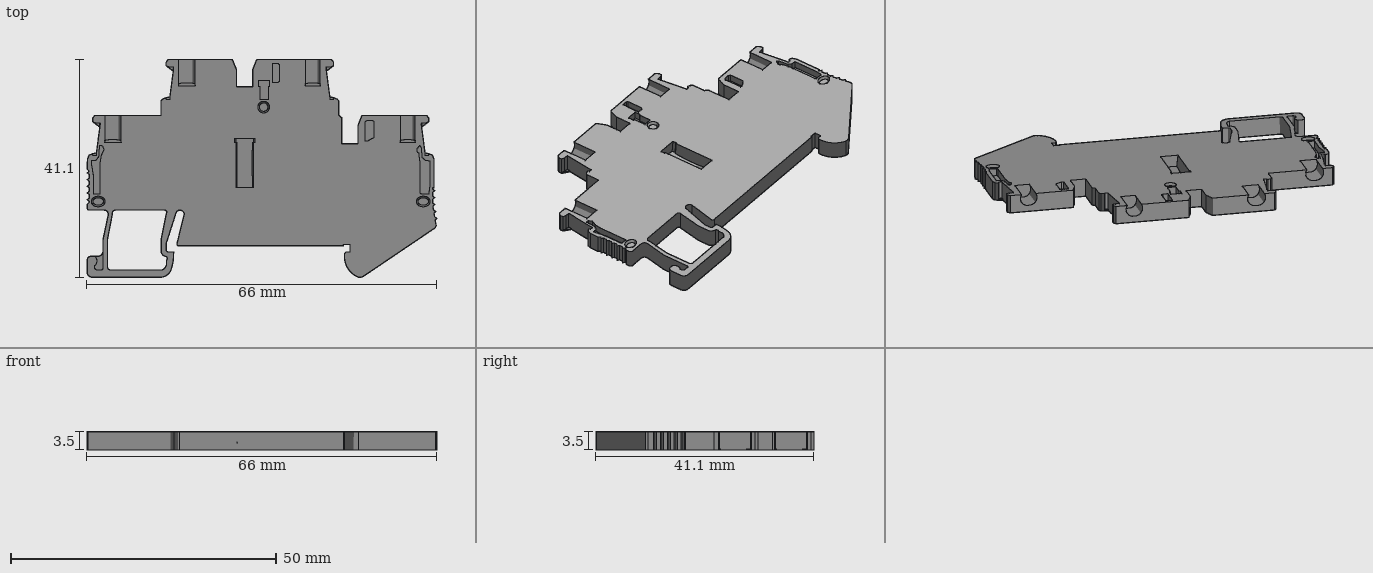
import cadquery as cq

body_length = 66.0
body_height = 41.1
thickness = 3.5

upper_top = body_height
lower_top = 30.55
wing_bottom = 12.65
rail_face = 5.95
foot_top = 4.8

left_lower_neck = 2.45
left_upper_neck = 16.3
right_upper_neck = 45.1
right_lower_neck = 63.05
clip_nose = 1.42
clip_corner = 1.0
clip_nose_top = 0.55
clip_nose_bottom = 1.2
clip_underside = 1.45
clip_underside_start = 0.8
web_end = 2.2
neck_lean = 0.7
neck_straight = 0.3
neck_length = 7.05
notch_bottom = 7.6
notch_width = 0.6
notch_lip = 0.8
notch_lip_depth = 7.25
shoulder_reach = 2.1
shoulder_depth = 7.5
shoulder_side = 2.4
lower_shoulder_end = 8.3
upper_shoulder_end = 7.85
web_lean = 0.1
web_thickness = 0.25

tooth_height = 0.38
tooth_half_width = 0.3
left_tooth_pitch = 1.26
left_first_tooth = 19.69
left_tooth_count = 5
left_grip_top = 20.4
left_grip_bottom = 13.75
right_tooth_pitch = 1.31
right_first_tooth = 16.35
right_tooth_count = 5
right_grip_top = 16.85
right_knee = 13.6
right_grip_root = 65.2
right_side = right_lower_neck + shoulder_side
right_last_tooth = right_first_tooth - (right_tooth_count - 1) * right_tooth_pitch
right_lean = (body_length - tooth_height - right_grip_root) / (right_knee - right_last_tooth)

upper_notch_left = 28.2
upper_notch_right = 31.2
upper_notch_bottom = 35.95
lower_notch_left = 48.05
lower_notch_right = 51.05
lower_notch_bottom = 25.2
notch_flare = 1.0
notch_flare_depth = 1.95
flare_corner = 0.65
flare_corner_depth = 0.35
flare_bulge = 0.8
flare_bulge_depth = 0.08

groove_depth = 2.25
groove_half_mouth = 1.53
right_groove_half_mouth = 1.25
groove_bulge = 0.2
groove_bulge_depth = 0.95
groove_flat_half = 0.3
groove_end_slope = 0.57
groove_length_upper = 5.0
groove_length_lower = 5.15

window_center_x = 29.73
window_half_width = 1.69
window_head_half_width = 1.9
window_draft = 0.28
window_bottom = 16.9
window_top = 26.2
window_ledge = 0.8
window_ledge_depth = 2.2
window_floor_depth = 2.45

pocket_depth = 1.4
dimple_depth = 0.5
dimple_inset = 0.3

foot_right = 16.35
foot_floor = 1.4
foot_corner = 1.0
lip_top = 4.0
lip_corner = 0.8
wing_corner = 0.45
foot_web_thickness = 0.87
foot_web_top = 5.0
strip_outer_x = 3.0
strip_inner_x = 3.88
strip_bend = 7.15
arm_inner_x = 13.95
arm_outer_x = 14.95
relief_bend = 6.4

rail_notch_left = 48.35
rail_notch_right = 49.55
rail_notch_rise = 0.2
toe_x = 48.55
toe_round = 0.3
sole_start = 51.15
sole_end = 51.6
slope_start = (52.15, 0.2)
slope_end = (65.7, 9.35)
slope_chamfer = (65.85, 9.8)
deck_step = 0.45


def clip_points(neck, top, side):
    """Clip outline from its top corner down to the shoulder; side is -1 left, +1 right."""
    shoulder_end = upper_shoulder_end if top == upper_top else lower_shoulder_end
    offsets = [
        (clip_corner, 0),
        (clip_nose, clip_nose_top),
        (clip_nose, clip_nose_bottom),
        (clip_underside_start, clip_underside),
        (0, clip_underside),
        (0, clip_underside + neck_straight),
        (neck_lean, neck_length),
        (neck_lean, notch_bottom),
        (neck_lean + notch_width, notch_bottom),
        (neck_lean + notch_lip, notch_lip_depth),
        (shoulder_reach, shoulder_depth),
        (shoulder_side, shoulder_end),
    ]
    return [(neck + side * out, top - down) for out, down in offsets]


def tooth_points(root, y):
    """Three corners of one grip tooth, from top to bottom; root(y) gives the face."""
    direction = 1 if root(y) > body_length / 2 else -1
    return [
        (root(y + tooth_half_width), y + tooth_half_width),
        (root(y) + direction * tooth_height, y),
        (root(y - tooth_half_width), y - tooth_half_width),
    ]


def left_root(y):
    """X of the left toothed face, the same at every level."""
    return tooth_height


def right_root(y):
    """X of the right toothed face, leaning outward below the knee."""
    return right_grip_root + right_lean * max(0, right_knee - y)


def left_grip_points():
    """Left end face, from bottom to top."""
    points = [(0, left_grip_bottom), (tooth_height, left_grip_bottom + tooth_height)]
    for i in reversed(range(left_tooth_count)):
        points += reversed(tooth_points(left_root, left_first_tooth - i * left_tooth_pitch))
    return points + [(tooth_height, left_grip_top - tooth_height), (0, left_grip_top)]


def right_grip_points():
    """Right end face, from top to bottom."""
    points = [(right_side, right_grip_top), (right_grip_root, right_grip_top)]
    for i in range(right_tooth_count):
        points += tooth_points(right_root, right_first_tooth - i * right_tooth_pitch)
    return points


def flare_points(wall, top, side):
    """Notch entry on one side: end of the top edge, corner middle, corner end, notch wall."""
    offsets = [
        (notch_flare, 0),
        (flare_bulge, flare_bulge_depth),
        (flare_corner, flare_corner_depth),
        (0, notch_flare_depth),
    ]
    return [(wall + side * out, top - down) for out, down in offsets]


def notch(sketch, left, right, top, bottom, left_flared):
    """Continue the outline through a marker notch, from left to right."""
    if left_flared:
        edge, middle, corner, wall = flare_points(left, top, -1)
        sketch = sketch.lineTo(*edge).threePointArc(middle, corner).lineTo(*wall)
    sketch = sketch.lineTo(left, bottom).lineTo(right, bottom)
    edge, middle, corner, wall = flare_points(right, top, 1)
    return sketch.lineTo(*wall).lineTo(*corner).threePointArc(middle, edge)


def run(sketch, points):
    """Continue an open outline through straight segments."""
    return sketch.polyline(points, includeCurrent=True)


def body_plate():
    """The plate outline, clockwise from the outer bottom-left corner of the rail foot."""
    s = cq.Workplane("XY").moveTo(0, foot_corner)
    s = s.lineTo(0, lip_top - lip_corner)
    s = s.tangentArcPoint((lip_corner, lip_top), relative=False).lineTo(1.45, lip_top)
    s = s.threePointArc((1.85, 3.2), (1.45, 2.2))
    s = s.threePointArc((1.5, 1.6), (2.0, foot_floor)).lineTo(2.6, foot_floor)
    s = s.threePointArc((2.9, 1.5), (strip_outer_x, 1.8))
    s = s.lineTo(strip_outer_x, strip_bend).lineTo(3.97, 11.74)
    s = s.tangentArcPoint((3.24, wing_bottom), relative=False).lineTo(wing_corner, wing_bottom)
    s = s.tangentArcPoint((0, wing_bottom + wing_corner), relative=False)
    s = run(s, left_grip_points())
    s = run(s, clip_points(left_lower_neck, lower_top, -1)[::-1])
    upper_left_clip = clip_points(left_upper_neck, upper_top, -1)[::-1]
    s = s.lineTo(upper_left_clip[0][0], lower_top)
    s = run(s, upper_left_clip)
    s = notch(s, upper_notch_left, upper_notch_right, upper_top, upper_notch_bottom, True)
    upper_right_clip = clip_points(right_upper_neck, upper_top, 1)
    s = run(s, upper_right_clip)
    s = s.lineTo(upper_right_clip[-1][0], lower_top).lineTo(lower_notch_left, lower_top - deck_step)
    s = notch(s, lower_notch_left, lower_notch_right, lower_top, lower_notch_bottom, False)
    s = run(s, clip_points(right_lower_neck, lower_top, 1))
    s = run(s, right_grip_points())
    s = s.lineTo(*slope_chamfer).lineTo(*slope_end).lineTo(*slope_start)
    s = s.threePointArc((51.9, 0.06), (sole_end, 0)).lineTo(sole_start, 0)
    s = s.threePointArc((49.15, 1.7), (toe_x, foot_top - toe_round))
    s = s.lineTo(toe_x + toe_round, foot_top).lineTo(rail_notch_right, foot_top)
    s = s.lineTo(rail_notch_right, rail_face + rail_notch_rise)
    s = s.lineTo(rail_notch_left, rail_face + rail_notch_rise).lineTo(rail_notch_left, rail_face)
    s = s.lineTo(17.4, rail_face).threePointArc((17.0, 6.05), (16.95, relief_bend)).lineTo(18.3, 11.9)
    s = s.threePointArc((17.6, wing_bottom), (16.75, 12.0))
    s = s.lineTo(arm_outer_x, relief_bend).lineTo(arm_outer_x, 5.1)
    s = s.threePointArc((15.05, 4.9), (15.3, foot_top)).lineTo(foot_right, foot_top)
    s = s.threePointArc((16.25, 3.0), (15.8, 1.25)).threePointArc((15.2, 0.5), (14.0, 0))
    s = s.lineTo(foot_corner, 0)
    s = s.tangentArcPoint((0, foot_corner), relative=False).close()
    return s.extrude(thickness)


def spring_window():
    """Opening enclosed by the rail foot spring."""
    s = cq.Workplane("XY").moveTo(strip_inner_x, 1.9).lineTo(strip_inner_x, strip_bend).lineTo(4.8, 12.0)
    s = s.threePointArc((4.95, 12.5), (5.3, wing_bottom)).lineTo(14.7, wing_bottom)
    s = s.threePointArc((14.95, 12.5), (arm_outer_x, 12.1))
    s = s.lineTo(arm_inner_x, strip_bend).lineTo(arm_inner_x, foot_top)
    s = s.threePointArc((14.35, 4.15), (14.9, 3.9)).threePointArc((15.1, 3.6), (arm_outer_x, 3.2))
    s = s.lineTo(arm_outer_x, 2.4).threePointArc((14.65, 1.75), (14.1, foot_floor))
    s = s.lineTo(4.4, foot_floor)
    s = s.threePointArc((4.05, 1.55), (strip_inner_x, 1.9)).close()
    return s.extrude(thickness)


def foot_web():
    """Low web filling the curl of the rail foot."""
    left = 0.8
    bottom = 1.0
    right = (strip_outer_x + strip_inner_x) / 2
    s = cq.Workplane("XY").moveTo(left, bottom).lineTo(left, lip_top).lineTo(2.1, lip_top)
    s = s.threePointArc((2.75, 4.3), (strip_outer_x, foot_web_top))
    s = s.lineTo(right, foot_web_top).lineTo(right, bottom).close()
    return s.extrude(foot_web_thickness)


def clip_webs(neck, top, side):
    """Thin skins under the nose and in the notch at the base of one clip."""
    nose = [(clip_nose, clip_nose_bottom), (0, clip_underside), (web_lean, web_end)]
    base = [(neck_lean, neck_length), (neck_lean, notch_bottom),
            (neck_lean + notch_width, notch_bottom), (neck_lean + notch_lip, notch_lip_depth)]
    webs = []
    for corners in (nose, base):
        points = [(neck + side * out, top - down) for out, down in corners]
        webs.append(cq.Workplane("XY").polyline(points).close().extrude(web_thickness))
    return webs


def wire_groove(center_x, top, length, right_mouth):
    """Round-walled channel with a narrow flat floor and a sloped inner end."""
    floor = thickness - groove_depth
    waist = thickness - groove_bulge_depth
    left_waist = groove_half_mouth + groove_bulge
    right_waist = right_mouth + groove_bulge
    profile = (
        cq.Workplane("XZ", origin=(center_x, top, 0))
        .moveTo(-groove_half_mouth, thickness)
        .threePointArc((-left_waist, waist), (-groove_flat_half, floor))
        .lineTo(groove_flat_half, floor)
        .threePointArc((right_waist, waist), (right_mouth, thickness))
        .close()
        .extrude(length)
    )
    side = (
        cq.Workplane("YZ", origin=(center_x - 2 * left_waist, 0, 0))
        .polyline([(top, floor), (top, thickness), (top - length, thickness),
                   (top - length + groove_end_slope, floor)])
        .close()
        .extrude(4 * left_waist)
    )
    return profile.intersect(side)


def drafted_slab(half_width, bottom, top):
    """Slab along Y whose side walls lean inward toward the floor."""
    return (
        cq.Workplane("XZ", origin=(window_center_x, top, 0))
        .polyline([(-half_width, thickness), (half_width, thickness),
                   (half_width - window_draft, thickness - window_floor_depth),
                   (-half_width + window_draft, thickness - window_floor_depth)])
        .close()
        .extrude(top - bottom)
    )


def central_window():
    """Pocket with a dished floor, a ledge at each end and a wider head."""
    ledge = thickness - window_ledge_depth
    floor = thickness - window_floor_depth
    floor_start = window_bottom + window_ledge
    floor_end = window_top - window_ledge
    side = (
        cq.Workplane("YZ", origin=(window_center_x - window_head_half_width, 0, 0))
        .moveTo(window_bottom, thickness)
        .lineTo(window_bottom, ledge)
        .lineTo(floor_start, ledge)
        .threePointArc(((floor_start + floor_end) / 2, floor), (floor_end, ledge))
        .lineTo(window_top, ledge)
        .lineTo(window_top, thickness)
        .close()
        .extrude(2 * window_head_half_width)
    )
    slabs = drafted_slab(window_half_width, window_bottom, floor_end).union(
        drafted_slab(window_head_half_width, floor_end, window_top))
    return slabs.intersect(side)


def pocket(points):
    """Flat-bottomed pocket in the top face."""
    floor = thickness - pocket_depth
    return cq.Workplane("XY").workplane(offset=floor).polyline(points).close().extrude(pocket_depth)


def dimple(x, y, radius_x, radius_y):
    """Elliptical recess that narrows toward its floor."""
    return (
        cq.Workplane("XY", origin=(x, y, thickness))
        .ellipse(radius_x, radius_y)
        .workplane(offset=-dimple_depth)
        .ellipse(radius_x - dimple_inset, radius_y - dimple_inset)
        .loft(ruled=True)
    )


clips = [
    (left_lower_neck, lower_top, -1),
    (left_upper_neck, upper_top, -1),
    (right_upper_neck, upper_top, 1),
    (right_lower_neck, lower_top, 1),
]

grooves = [
    (4.87, lower_top, groove_length_lower, groove_half_mouth),
    (18.8, upper_top, groove_length_upper, groove_half_mouth),
    (42.7, upper_top, groove_length_upper, right_groove_half_mouth),
    (60.6, lower_top, groove_length_lower, right_groove_half_mouth),
]

upper_marker_pocket = [(34.95, 36.7), (34.95, 40.35), (36.0, 40.35),
                       (36.25, 40.1), (36.25, 36.95), (35.95, 36.7)]
tee_pocket = [(32.35, 37.15), (34.45, 37.15), (34.45, 35.95), (34.25, 35.95),
              (34.25, 33.5), (32.6, 33.5), (32.6, 35.95), (32.35, 35.95)]
lower_marker_pocket = [(52.45, 25.7), (52.45, 29.3), (52.75, 29.6), (53.85, 29.6),
                       (54.15, 29.3), (54.15, 26.4), (52.9, 25.7)]
left_spring_pocket = [(2.35, 24.85), (2.9, 24.8), (3.2, 24.1), (2.65, 22.9), (2.45, 21.5), (2.45, 15.7),
                      (1.2, 15.7), (1.2, 19.2), (0.82, 21.5), (0.82, 22.05), (1.65, 22.05), (2.2, 22.7)]
right_spring_pocket = [(62.7, 24.85), (62.2, 24.2), (62.2, 23.7), (62.55, 23.4), (62.8, 21.5), (62.8, 15.9),
                       (63.0, 15.7), (64.45, 15.7), (64.63, 17.0), (64.63, 21.95), (63.8, 22.05),
                       (63.2, 22.6), (63.0, 24.6)]
pockets = [upper_marker_pocket, tee_pocket, lower_marker_pocket, left_spring_pocket, right_spring_pocket]

dimples = [
    (2.1, 14.3, 1.3, 1.0),
    (63.4, 14.3, 1.3, 1.0),
    (33.3, 32.1, 1.1, 1.1),
]

result = body_plate().cut(spring_window()).union(foot_web())
for clip in clips:
    for web in clip_webs(*clip):
        result = result.union(web)
for groove in grooves:
    result = result.cut(wire_groove(*groove))
result = result.cut(central_window())
for corners in pockets:
    result = result.cut(pocket(corners))
for recess in dimples:
    result = result.cut(dimple(*recess))